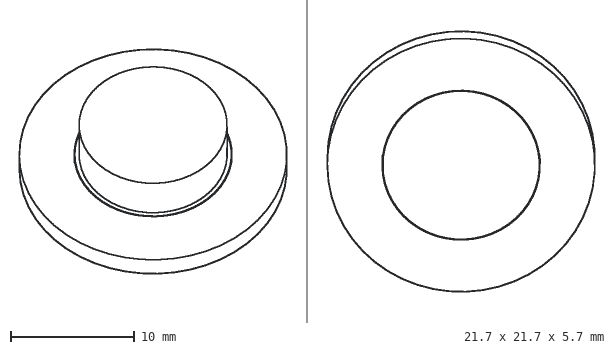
import cadquery as cq

washer_diameter = 21.7
washer_thickness = 1.85
bore_diameter = 12.8
plug_base_diameter = 12.7
plug_boss_diameter = 12.0
total_height = 5.7

plug_base_height = washer_thickness
plug_boss_height = total_height - plug_base_height


def make_washer():
    """Flat ring with a plain through bore."""
    return (
        cq.Workplane("XY")
        .circle(washer_diameter / 2)
        .circle(bore_diameter / 2)
        .extrude(washer_thickness)
    )


def make_plug():
    """Stepped plug: a base with clearance in the bore and a narrower boss above."""
    base = cq.Workplane("XY").circle(plug_base_diameter / 2).extrude(plug_base_height)
    return base.faces(">Z").workplane().circle(plug_boss_diameter / 2).extrude(plug_boss_height)


washer = make_washer()
plug = make_plug()

result = cq.Compound.makeCompound([washer.val(), plug.val()])